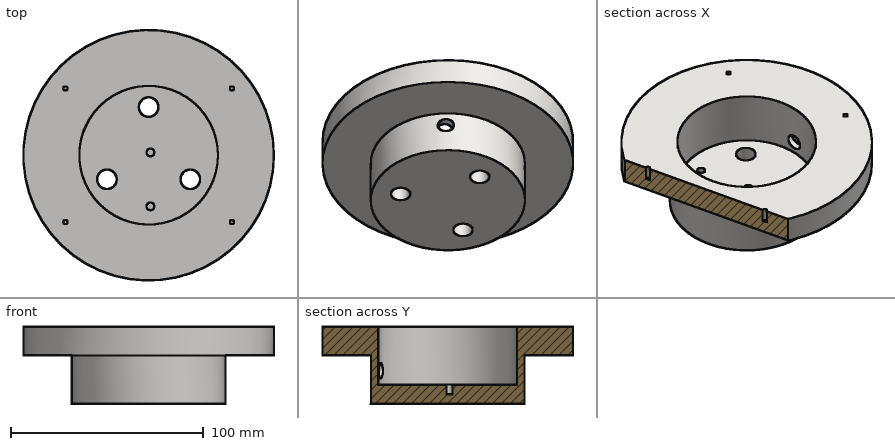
import cadquery as cq

flange_diameter = 130.0
flange_thickness = 15.0
total_height = 40.0
cup_diameter = 80.0

bore_diameter = 71.9
floor_thickness = 10.0
bore_depth = total_height - floor_thickness

mount_hole_count = 3
mount_hole_diameter = 10.0
mount_circle_radius = 25.0
first_mount_angle = 90

pin_hole_diameter = 4.0
pin_hole_depth = floor_thickness / 2
pin_hole_x = 0.9
pin_hole_rear_y = 1.4
pin_hole_spacing = 28.0

screw_hole_diameter = 2.2
screw_hole_depth = flange_thickness / 2
screw_spacing_x = 86.3
screw_spacing_y = 69.3

port_diameter = 8.0
port_y = 9.0
port_height = 17.2


def drill_down(points, diameter, top_z, depth):
    """Vertical cylinders that reach down from top_z at each point."""
    return (
        cq.Workplane("XY", origin=(0, 0, top_z))
        .pushPoints(points)
        .circle(diameter / 2)
        .extrude(-depth)
    )


def turned_body():
    """Flange and cup with the central bore, standing on Z = 0."""
    cup = cq.Workplane("XY").circle(cup_diameter / 2).extrude(total_height)
    flange = drill_down([(0, 0)], flange_diameter, total_height, flange_thickness)
    bore = drill_down([(0, 0)], bore_diameter, total_height, bore_depth)
    return cup.union(flange).cut(bore)


def mount_holes():
    """Through holes in the floor."""
    centers = cq.Workplane("XY", origin=(0, 0, floor_thickness)).polarArray(
        mount_circle_radius, first_mount_angle, 360, mount_hole_count
    )
    return centers.circle(mount_hole_diameter / 2).extrude(-floor_thickness)


def pin_holes():
    """Blind holes in the floor."""
    points = [
        (pin_hole_x, pin_hole_rear_y),
        (pin_hole_x, pin_hole_rear_y - pin_hole_spacing),
    ]
    return drill_down(points, pin_hole_diameter, floor_thickness, pin_hole_depth)


def screw_holes():
    """Blind holes in the flange face."""
    points = [
        (side_x * screw_spacing_x / 2, side_y * screw_spacing_y / 2)
        for side_x in (-1, 1)
        for side_y in (-1, 1)
    ]
    return drill_down(points, screw_hole_diameter, total_height, screw_hole_depth)


def side_port():
    """Cylinder along X from outside the -X wall to the middle of the bore."""
    return (
        cq.Workplane("YZ")
        .center(port_y, port_height)
        .circle(port_diameter / 2)
        .extrude(-cup_diameter / 2)
    )


result = (
    turned_body()
    .cut(mount_holes())
    .cut(pin_holes())
    .cut(screw_holes())
    .cut(side_port())
)